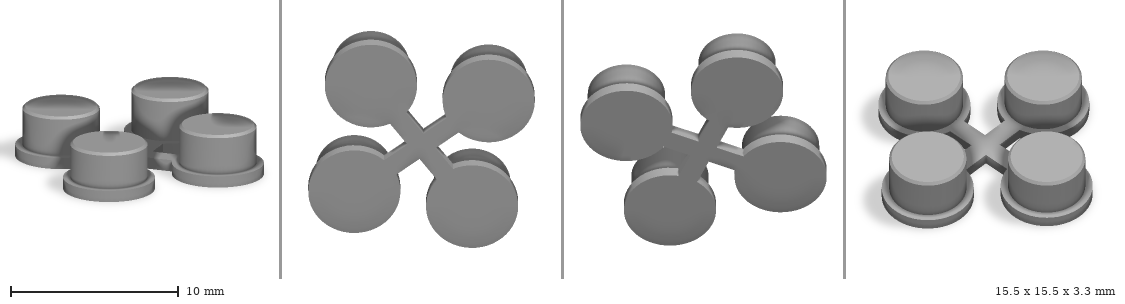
import cadquery as cq

overall_span = 15.5
button_offset = 5.0
base_thickness = 0.7
arm_width = 1.2

flange_radius = overall_span / 2 - button_offset
button_diameter = 4.6
edge_chamfer = 0.15

tallest_height = 3.3
height_step = 0.2
middle_height = tallest_height - height_step
lowest_height = middle_height - height_step


def make_button(x, y, height):
    """Flanged round button with a chamfered top edge, standing on Z = 0."""
    flange = cq.Workplane("XY").center(x, y).circle(flange_radius).extrude(base_thickness)
    cap = (
        cq.Workplane("XY")
        .center(x, y)
        .circle(button_diameter / 2)
        .extrude(height)
        .faces(">Z")
        .chamfer(edge_chamfer)
    )
    return flange.union(cap)


def make_web():
    """Two crossing arms that join the button axes."""
    arm_length = 2 * button_offset
    centered = (True, True, False)
    arm_x = cq.Workplane("XY").box(arm_length, arm_width, base_thickness, centered=centered)
    arm_y = cq.Workplane("XY").box(arm_width, arm_length, base_thickness, centered=centered)
    return arm_x.union(arm_y)


buttons = [
    (-button_offset, 0, middle_height),
    (button_offset, 0, middle_height),
    (0, -button_offset, lowest_height),
    (0, button_offset, tallest_height),
]

result = make_web()
for x, y, height in buttons:
    result = result.union(make_button(x, y, height))